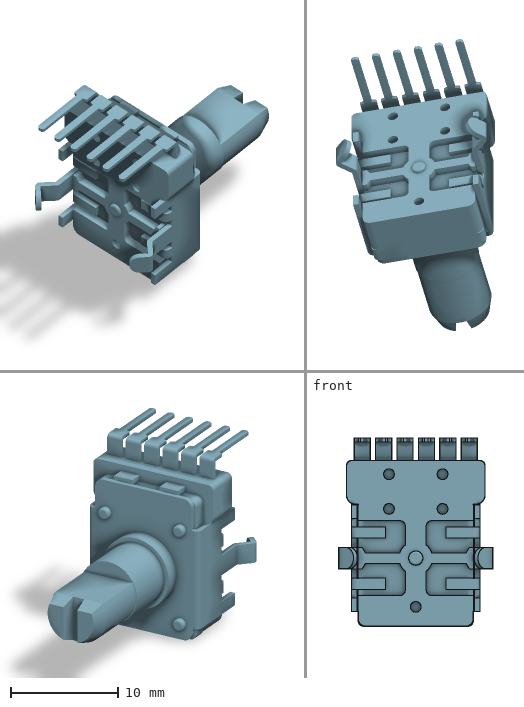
import cadquery as cq
import math


overall_length = 23.8

housing_top = 9.12
housing_bottom = -6.38
head_half_width = 6.47
head_bottom = 5.02
head_top_radius = 0.5
head_bottom_radius = 0.85
stem_half_width = 5.38
stem_corner_radius = 0.79
front_block_depth = 3.5
rear_top = 7.8
rear_corner_radius = 0.65
rear_bottom_radius = 0.57
rib_top = 8.45
rib_inner = 1.48
rib_outer = 3.47

hole_radius = 0.5
hole_depth = 1.0
hole_x = 2.5
hole_z_levels = (7.83, 4.6)
lower_hole_z = -4.55
stud_radius = 0.67
stud_height = 0.3
stud_rounding = 0.2
pocket_depth = 0.79
pocket_inner_x = 0.98
pocket_outer_z = 3.5
pocket_rib_z = 0.5
pocket_hub_radius = 1.57
pocket_corner_radius = 0.52
pocket_flare_start = 4.7
pocket_flare_end = 5

sheet = 0.5
frame_half_width = 6.0
frame_half_height = 5
frame_rear = 5.3
frame_inner_rear = frame_rear - sheet
frame_inner_half_width = frame_half_width - sheet
cover_half_width = 5.21
cover_top = 8.05
cover_radius = 0.83
leg_end = -1.33
leg_inner_z = 3.71
notch_floor = 1.1

finger_z_min = 1.85
finger_z_max = 2.93
finger_tip_x = 2.8
finger_bend_radius = 0.6

clip_half_height = 1.0
clip_span = 14.4
clip_bend_y = -1.71
clip_return_length = 1.75

rivet_x = 4.05
rivet_z = 4.78
rivet_radius = 0.6
rivet_height = 0.6
rivet_rounding = 0.24

collar_radius = 3.57
collar_end = 6.7
bushing_radius = 3.07
bushing_end = 11.69
shaft_radius = 3.0
shaft_flat_z = shaft_radius / 2
tip_start = 17.18
tip_length = 1.52
shaft_end = tip_start + tip_length
tip_inset = 0.52
slot_half_width_floor = 0.6
slot_half_width_open = 0.74

pin_count = 6
pin_pitch = 2.0
pin_top = 11.2
pin_sheet = 0.35
pin_rear = 2.17
pin_half_width = 0.75
pin_shoulder_outer = 0.62
pin_shoulder_inner = 0.5
blade_half_width = 0.35
pin_end = shaft_end - overall_length
blade_chamfer = 0.2


def block(x_range, y_range, z_range):
    """Axis-aligned box between the given limits."""
    size = [high - low for low, high in (x_range, y_range, z_range)]
    corner = (x_range[0], y_range[0], z_range[0])
    return cq.Workplane("XY").box(*size, centered=False).translate(corner)


def plane_facing_front(y):
    """Sketch plane at the given y: local x is X, local y is Z, extrusion goes toward -Y."""
    return cq.Workplane("XZ", origin=(0, y, 0))


def rod(radius, y_start, y_end, x=0, z=0):
    """Cylinder parallel to the Y axis."""
    return plane_facing_front(y_end).center(x, z).circle(radius).extrude(y_end - y_start)


def mirror_x(body):
    """The body together with its mirror image across X = 0."""
    return body.union(body.mirror("YZ"))


def mirror_z(body):
    """The body together with its mirror image across Z = 0."""
    return body.union(body.mirror("XY"))


def make_housing():
    depth = (0, front_block_depth)
    head = block((-head_half_width, head_half_width), depth, (head_bottom, housing_top))
    head = head.edges("|Y and >Z").fillet(head_top_radius)
    head = head.edges("|Y and <Z").fillet(head_bottom_radius)
    stem_width = (-stem_half_width, stem_half_width)
    stem = block(stem_width, depth, (housing_bottom, head_bottom))
    stem = stem.edges("|Y and <Z").fillet(stem_corner_radius)

    rear_depth = (front_block_depth, frame_inner_rear)
    rear = block(stem_width, rear_depth, (housing_bottom, rear_top))
    rear = rear.edges("|Y and >Z").fillet(rear_corner_radius)
    rear = rear.edges("|Y and <Z").fillet(rear_bottom_radius)
    rib = block((rib_inner, rib_outer), rear_depth, (0, rib_top))
    return head.union(stem).union(rear).union(mirror_x(rib))


def make_pockets():
    """Four pockets around the central hub, one for each frame finger."""
    hub_z = math.sqrt(pocket_hub_radius**2 - pocket_inner_x**2)
    hub_x = math.sqrt(pocket_hub_radius**2 - pocket_rib_z**2)
    hub_mid = pocket_hub_radius / math.sqrt(2)
    pocket = (
        plane_facing_front(pocket_depth)
        .moveTo(frame_inner_half_width, pocket_outer_z)
        .lineTo(pocket_inner_x + pocket_corner_radius, pocket_outer_z)
        .radiusArc((pocket_inner_x, pocket_outer_z - pocket_corner_radius), -pocket_corner_radius)
        .lineTo(pocket_inner_x, hub_z)
        .threePointArc((hub_mid, hub_mid), (hub_x, pocket_rib_z))
        .lineTo(pocket_flare_start, pocket_rib_z)
        .lineTo(pocket_flare_end, clip_half_height)
        .lineTo(frame_inner_half_width, clip_half_height)
        .close()
        .extrude(pocket_depth)
    )
    return mirror_x(mirror_z(pocket))


def make_holes():
    holes = rod(hole_radius, 0, hole_depth, 0, lower_hole_z)
    for z in hole_z_levels:
        for x in (-hole_x, hole_x):
            holes = holes.union(rod(hole_radius, 0, hole_depth, x, z))
    return holes


def make_stud():
    return rod(stud_radius, -stud_height, 0).faces("<Y").edges().fillet(stud_rounding)


def make_frame():
    """Rear cover plate with two bent side plates ending in legs."""
    shell = block(
        (-frame_half_width, frame_half_width),
        (leg_end, frame_rear),
        (-frame_half_height, frame_half_height),
    )
    shell = shell.edges("|Z and >Y").fillet(sheet)
    shell = shell.cut(
        block(
            (-frame_inner_half_width, frame_inner_half_width),
            (leg_end, frame_inner_rear),
            (-frame_half_height, frame_half_height),
        )
    )
    opening = block(
        (-frame_half_width, frame_half_width),
        (leg_end, notch_floor),
        (-leg_inner_z, leg_inner_z),
    )
    cover = block(
        (-cover_half_width, cover_half_width),
        (frame_inner_rear, frame_rear),
        (housing_bottom, cover_top),
    )
    cover = cover.edges("|Y").fillet(cover_radius)
    return shell.cut(opening).union(cover)


def make_fingers():
    """Strips folded from the notch floor inward onto the pocket floors."""
    outer_y = pocket_depth - sheet
    inner_bend = finger_bend_radius - sheet
    bend_y = outer_y + finger_bend_radius
    bend_x = frame_half_width - finger_bend_radius
    finger = (
        cq.Workplane("XY", origin=(0, 0, finger_z_min))
        .moveTo(frame_half_width, notch_floor)
        .lineTo(frame_half_width, bend_y)
        .radiusArc((bend_x, outer_y), finger_bend_radius)
        .lineTo(finger_tip_x, outer_y)
        .lineTo(finger_tip_x, pocket_depth)
        .lineTo(bend_x, pocket_depth)
        .radiusArc((frame_inner_half_width, bend_y), -inner_bend)
        .lineTo(frame_inner_half_width, notch_floor)
        .close()
        .extrude(finger_z_max - finger_z_min)
    )
    return mirror_x(mirror_z(finger))


def make_clips():
    """Snap clips: straight strip, 45 degree bend outward, 45 degree return with a round end."""
    diagonal = sheet / math.sqrt(2)
    elbow_x = clip_span / 2 - sheet
    first_bend_x = frame_half_width - diagonal
    first_bend_y = clip_bend_y - diagonal
    elbow_y = first_bend_y - (elbow_x - first_bend_x)
    reach = clip_return_length / math.sqrt(2)
    end_x = elbow_x - reach
    end_y = elbow_y - reach
    strip = (
        cq.Workplane("XY", origin=(0, 0, -clip_half_height))
        .moveTo(frame_half_width, notch_floor)
        .lineTo(frame_half_width, clip_bend_y)
        .lineTo(elbow_x + diagonal, elbow_y + diagonal)
        .radiusArc((elbow_x + diagonal, elbow_y - diagonal), sheet)
        .lineTo(end_x + diagonal, end_y - diagonal)
        .lineTo(end_x, end_y)
        .lineTo(elbow_x, elbow_y)
        .lineTo(first_bend_x, first_bend_y)
        .radiusArc((frame_inner_half_width, clip_bend_y), sheet)
        .lineTo(frame_inner_half_width, notch_floor)
        .close()
        .extrude(2 * clip_half_height)
    )
    end_plane = cq.Plane(origin=(end_x, end_y, 0), xDir=(1, 1, 0), normal=(1, -1, 0))
    waste = (
        cq.Workplane(end_plane)
        .moveTo(clip_half_height, clip_half_height)
        .threePointArc((0, 0), (clip_half_height, -clip_half_height))
        .lineTo(0, -clip_half_height)
        .lineTo(0, clip_half_height)
        .close()
        .extrude(sheet)
    )
    return mirror_x(strip.cut(waste))


def make_rivets():
    rivet = rod(rivet_radius, frame_inner_rear, frame_rear + rivet_height, rivet_x, rivet_z)
    rivet = rivet.faces(">Y").edges().fillet(rivet_rounding)
    return mirror_x(mirror_z(rivet))


def d_section(y):
    """Shaft cross-section at the given y, with its flat facing +Z."""
    flat_half_width = math.sqrt(shaft_radius**2 - shaft_flat_z**2)
    return (
        plane_facing_front(y)
        .moveTo(-flat_half_width, shaft_flat_z)
        .lineTo(flat_half_width, shaft_flat_z)
        .threePointArc((0, -shaft_radius), (-flat_half_width, shaft_flat_z))
        .close()
    )


def make_shaft():
    """Collar, bushing and D-shaft with a tapered, slotted tip."""
    collar = rod(collar_radius, frame_inner_rear, collar_end)
    bushing = rod(bushing_radius, collar_end, bushing_end)

    shaft = d_section(tip_start).extrude(tip_start - bushing_end)
    taper = math.degrees(math.atan2(tip_inset, tip_length))
    tip = d_section(tip_start).extrude(-tip_length, taper=taper)
    slot = (
        cq.Workplane("XY", origin=(0, 0, -shaft_radius))
        .moveTo(-slot_half_width_floor, tip_start)
        .lineTo(slot_half_width_floor, tip_start)
        .lineTo(slot_half_width_open, shaft_end)
        .lineTo(-slot_half_width_open, shaft_end)
        .close()
        .extrude(2 * shaft_radius)
    )
    return collar.union(bushing).union(shaft).union(tip.cut(slot))


def make_pin():
    """Terminal bent from the housing top toward -Y, narrowing to a blade at slanted shoulders."""
    width = (-pin_half_width, pin_half_width)
    upright = block(width, (pin_rear - pin_sheet, pin_rear), (rear_top, pin_top))
    flat = (
        cq.Workplane("XY", origin=(0, 0, pin_top - pin_sheet))
        .moveTo(0, pin_rear)
        .lineTo(pin_half_width, pin_rear)
        .lineTo(pin_half_width, pin_shoulder_outer)
        .lineTo(blade_half_width, pin_shoulder_inner)
        .lineTo(blade_half_width, pin_end + blade_chamfer)
        .lineTo(blade_half_width - blade_chamfer, pin_end)
        .lineTo(0, pin_end)
        .mirrorY()
        .extrude(pin_sheet)
    )
    return upright.union(flat).edges("|X and >Y and >Z").fillet(pin_sheet)


def make_pins():
    pin = make_pin()
    pins = cq.Workplane("XY")
    for index in range(pin_count):
        offset = (index - (pin_count - 1) / 2) * pin_pitch
        pins = pins.union(pin.translate((offset, 0, 0)))
    return pins


result = make_housing().cut(make_pockets()).cut(make_holes())
for component in (
    make_stud(),
    make_frame(),
    make_fingers(),
    make_clips(),
    make_rivets(),
    make_shaft(),
    make_pins(),
):
    result = result.union(component)